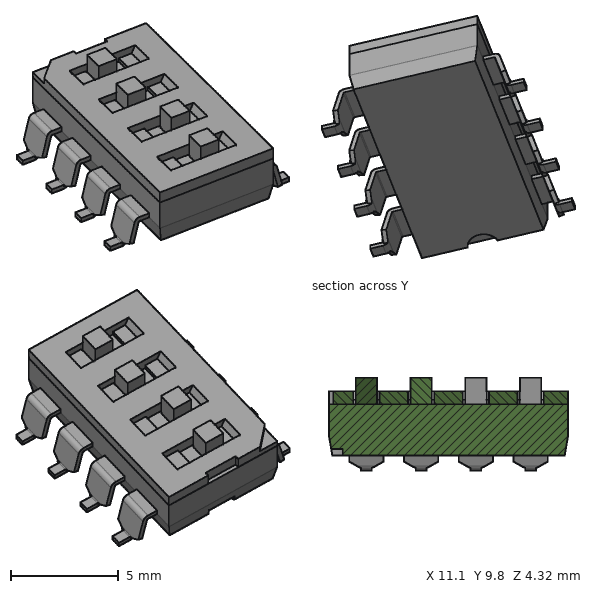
import cadquery as cq
import math


length = 11.1
body_depth = 6.22
lead_span = 9.8
overall_height = 4.32

position_count = 4
position_pitch = 2.54
position_xs = [(i - (position_count - 1) / 2) * position_pitch for i in range(position_count)]

base_bottom_z = 0.7
skirt_height = 0.9
skirt_inset = 0.15
cover_thickness = 0.6
cover_top_z = 3.7
skirt_top_z = base_bottom_z + skirt_height
base_top_z = cover_top_z - cover_thickness

end_notch_radius = 0.74
end_notch_height = 0.3

lead_width = 1.6
lead_thickness = 0.24
foot_width = 0.51
outer_bend_radius = 0.3
inner_bend_radius = outer_bend_radius - lead_thickness
leg_angle = 13.5
shoulder_y = 3.86
lead_embedment = 0.11
shoulder_start_z = 0.48
shoulder_angle = 30.0
lead_top_z = skirt_top_z + lead_thickness
leg_lean = math.tan(math.radians(leg_angle))
foot_root_y = shoulder_y + (lead_top_z - lead_thickness) * leg_lean

slot_width = 1.2
slot_length = 3.6
slot_floor_length = 3.2
slot_floor_depth = 0.4
window_length = 1.8
side_notch_width = 1.71
side_notch_depth = 0.2
corner_cut_size = 1.0
corner_cut_depth = 0.3

slider_size = 1.0
slider_travel = window_length - slider_size
slider_sides = [-1, -1, 1, 1]


def make_base_block():
    """Rectangular block on a tapered skirt, with the half-round notch in its -X end."""
    block = (
        cq.Workplane("XY", origin=(0, 0, skirt_top_z))
        .rect(length, body_depth)
        .extrude(base_top_z - skirt_top_z)
    )
    skirt = (
        cq.Workplane("XY", origin=(0, 0, base_bottom_z))
        .rect(length - 2 * skirt_inset, body_depth - 2 * skirt_inset)
        .workplane(offset=skirt_height)
        .rect(length, body_depth)
        .loft(ruled=True)
    )
    notch = (
        cq.Workplane("XY", origin=(-length / 2, 0, base_bottom_z))
        .circle(end_notch_radius)
        .extrude(end_notch_height)
    )
    return block.union(skirt).cut(notch)


def make_lead_strip():
    """Bent strip of full lead width on the +Y side, centred on X = 0."""
    corner_shift = lead_thickness * math.tan(math.radians((90 - leg_angle) / 2))
    wall_y = body_depth / 2 - lead_embedment
    tip_y = lead_span / 2
    profile = [
        (wall_y, lead_top_z),
        (shoulder_y, lead_top_z),
        (foot_root_y, lead_thickness),
        (tip_y, lead_thickness),
        (tip_y, 0),
        (foot_root_y - corner_shift, 0),
        (shoulder_y - corner_shift, lead_top_z - lead_thickness),
        (wall_y, lead_top_z - lead_thickness),
    ]
    strip = (
        cq.Workplane("YZ")
        .polyline(profile)
        .close()
        .extrude(lead_width / 2, both=True)
    )
    outer_bends = [profile[1], profile[5]]
    inner_bends = [profile[2], profile[6]]
    for bends, radius in ((outer_bends, outer_bend_radius), (inner_bends, inner_bend_radius)):
        for bend_y, bend_z in bends:
            strip = strip.edges(cq.NearestToPointSelector((0, bend_y, bend_z))).fillet(radius)
    return strip


def make_lead():
    """Lead on the +Y side whose leg narrows at its lower end to a slim foot."""
    side_width = (lead_width - foot_width) / 2
    shoulder_drop = side_width * math.tan(math.radians(shoulder_angle))
    clearance = lead_thickness
    lead = make_lead_strip()

    leg_plane = cq.Plane(
        origin=(0, shoulder_y + (lead_top_z - shoulder_start_z) * leg_lean, shoulder_start_z),
        xDir=(-1, 0, 0),
        normal=(0, math.cos(math.radians(leg_angle)), math.sin(math.radians(leg_angle))),
    )
    foot_length = lead_span / 2 - foot_root_y
    foot_middle_y = foot_root_y + foot_length / 2
    for side in (-1, 1):
        shoulder_cut = (
            cq.Workplane(leg_plane)
            .polyline([
                (side * lead_width / 2, 0),
                (side * foot_width / 2, -shoulder_drop),
                (side * foot_width / 2, -shoulder_start_z - clearance),
                (side * lead_width / 2, -shoulder_start_z - clearance),
            ])
            .close()
            .extrude(lead_thickness + clearance, both=True)
        )
        foot_side_cut = (
            cq.Workplane("XY")
            .center(side * (foot_width + side_width) / 2, foot_middle_y)
            .rect(side_width, foot_length)
            .extrude(lead_thickness)
        )
        lead = lead.cut(shoulder_cut).cut(foot_side_cut)
    return lead


def make_base():
    """Base block with a lead on both long sides at every position."""
    base = make_base_block()
    back_lead = make_lead()
    front_lead = back_lead.mirror("XZ")
    for x in position_xs:
        base = base.union(back_lead.translate((x, 0, 0)))
        base = base.union(front_lead.translate((x, 0, 0)))
    return base


def make_slot(x):
    """Slot with sloping ends and a window through the middle of its floor."""
    pocket = (
        cq.Workplane("XY", origin=(x, 0, cover_top_z))
        .rect(slot_width, slot_length)
        .workplane(offset=-slot_floor_depth)
        .rect(slot_width, slot_floor_length)
        .loft(ruled=True)
    )
    window = (
        cq.Workplane("XY", origin=(x, 0, base_top_z))
        .rect(slot_width, window_length)
        .extrude(cover_thickness)
    )
    return pocket.union(window)


def make_cover():
    """Flat cover with the slider slots, a side notch and a cut at the first corner."""
    cover = (
        cq.Workplane("XY", origin=(0, 0, base_top_z))
        .rect(length, body_depth)
        .extrude(cover_thickness)
    )
    for x in position_xs:
        cover = cover.cut(make_slot(x))
    side_notch = (
        cq.Workplane("XY", origin=(-length / 2, 0, base_top_z))
        .rect(2 * side_notch_depth, side_notch_width)
        .extrude(cover_thickness)
    )
    corner_cut = (
        cq.Workplane("XY", origin=(-length / 2, -body_depth / 2, cover_top_z))
        .polyline([(0, 0), (corner_cut_size, 0), (0, corner_cut_size)])
        .close()
        .extrude(-corner_cut_depth)
    )
    return cover.cut(side_notch).cut(corner_cut)


def make_slider(x, side):
    """Square slider standing on the base at one end of its window."""
    return (
        cq.Workplane("XY", origin=(x, side * slider_travel / 2, base_top_z))
        .rect(slider_size, slider_size)
        .extrude(overall_height - base_top_z)
    )


base = make_base()
cover = make_cover()
sliders = [make_slider(x, side) for x, side in zip(position_xs, slider_sides)]

result = cq.Compound.makeCompound([
    base.val(),
    cover.val(),
    *[slider.val() for slider in sliders],
])